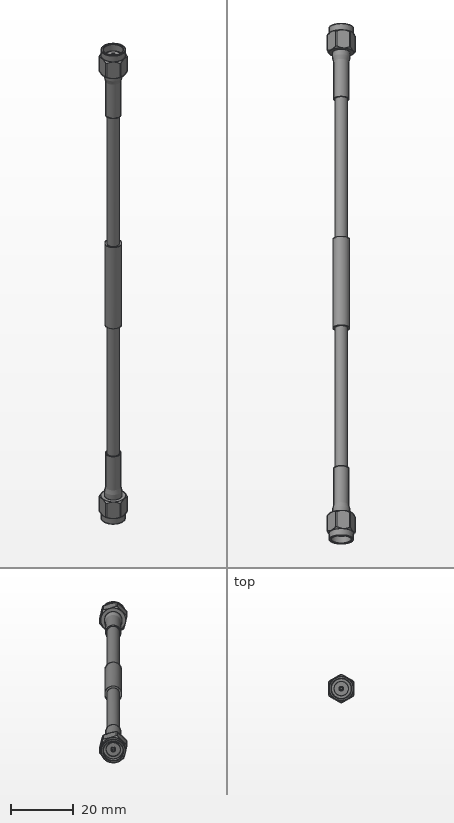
import cadquery as cq
import math

total_length = 175.97
half_length = total_length / 2

rim_diameter = 7.81
rim_length = 2.2
rim_chamfer = 0.1
hex_flats = 8.0
hex_corner_diameter = 9.02
hex_end_diameter = 7.9
hex_chamfer_length = 0.6
hex_end = 8.5
bore_diameter = 6.35
bore_mouth_diameter = 6.62
bore_mouth_depth = (bore_mouth_diameter - bore_diameter) / 2
bore_depth = 2.5

plug_diameter = 4.57
plug_face = 2.0
pin_recess_diameter = 1.51
pin_recess_depth = 1.0
pin_diameter = 0.91
pin_tip_diameter = 0.76
pin_tip_length = 0.4
pin_front = 1.5

cable_diameter = 4.14
marker_diameter = 5.41
marker_length = 30.48

collar_diameter = 5.59
collar_end = 10.3
taper_end = 11.785
boot_diameter = 4.9
boot_tube_length = 12.7
boot_end = taper_end + boot_tube_length


def cylinder(diameter, start, end):
    return cq.Workplane("XY").workplane(offset=start).circle(diameter / 2).extrude(end - start)


def cone(start_diameter, end_diameter, start, end):
    profile = cq.Workplane("XZ").moveTo(0, start).lineTo(start_diameter / 2, start)
    profile = profile.lineTo(end_diameter / 2, end).lineTo(0, end).close()
    return profile.revolve(360, (0, 0), (0, 1))


def hexagon():
    """Hexagon with flats facing +X and -X, its corners trimmed round and its ends chamfered."""
    across_corners = hex_flats / math.cos(math.pi / 6)
    prism = cq.Workplane("XY").workplane(offset=rim_length).polygon(6, across_corners)
    prism = prism.extrude(hex_end - rim_length).rotate((0, 0, 0), (0, 0, 1), 30)
    front_chamfer_end = rim_length + hex_chamfer_length
    rear_chamfer_start = hex_end - hex_chamfer_length
    envelope = cone(hex_end_diameter, hex_corner_diameter, rim_length, front_chamfer_end)
    envelope = envelope.union(cylinder(hex_corner_diameter, front_chamfer_end, rear_chamfer_start))
    envelope = envelope.union(cone(hex_corner_diameter, hex_end_diameter, rear_chamfer_start, hex_end))
    return prism.intersect(envelope)


def make_connector():
    """Coupling nut with its plug and centre pin."""
    rim = cylinder(rim_diameter, 0, rim_length).faces("<Z").chamfer(rim_chamfer)
    nut = hexagon().union(rim)
    nut = nut.cut(cylinder(bore_diameter, 0, bore_depth))
    nut = nut.cut(cone(bore_mouth_diameter, bore_diameter, 0, bore_mouth_depth))

    recess_floor = plug_face + pin_recess_depth
    connector = nut.union(cylinder(plug_diameter, plug_face, bore_depth))
    connector = connector.cut(cylinder(pin_recess_diameter, plug_face, recess_floor))
    pin_shoulder = pin_front + pin_tip_length
    connector = connector.union(cylinder(pin_diameter, pin_shoulder, recess_floor))
    return connector.union(cone(pin_tip_diameter, pin_diameter, pin_front, pin_shoulder))


def make_boot():
    """Collar, taper and tube, bored through for the cable."""
    boot = cylinder(collar_diameter, hex_end, collar_end)
    boot = boot.union(cone(collar_diameter, boot_diameter, collar_end, taper_end))
    boot = boot.union(cylinder(boot_diameter, taper_end, boot_end))
    return boot.cut(cylinder(cable_diameter, hex_end, boot_end))


def make_cable():
    """Cable running from nut to nut, in one piece with its marker sleeve."""
    cable_end = half_length - hex_end
    cable = cylinder(cable_diameter, -cable_end, cable_end)
    return cable.union(cylinder(marker_diameter, -marker_length / 2, marker_length / 2))


def at_both_ends(body):
    """One copy with its front face at the bottom end and one turned over at the top end."""
    copies = []
    for turn, end_z in ((0, -half_length), (180, half_length)):
        turned = body.rotate((0, 0, 0), (1, 0, 0), turn)
        copies.append(turned.translate((0, 0, end_z)).solids().val())
    return copies


connectors = at_both_ends(make_connector())
boots = at_both_ends(make_boot())
cable = make_cable().solids()

result = cq.Compound.makeCompound([*connectors, *boots, cable.val()])